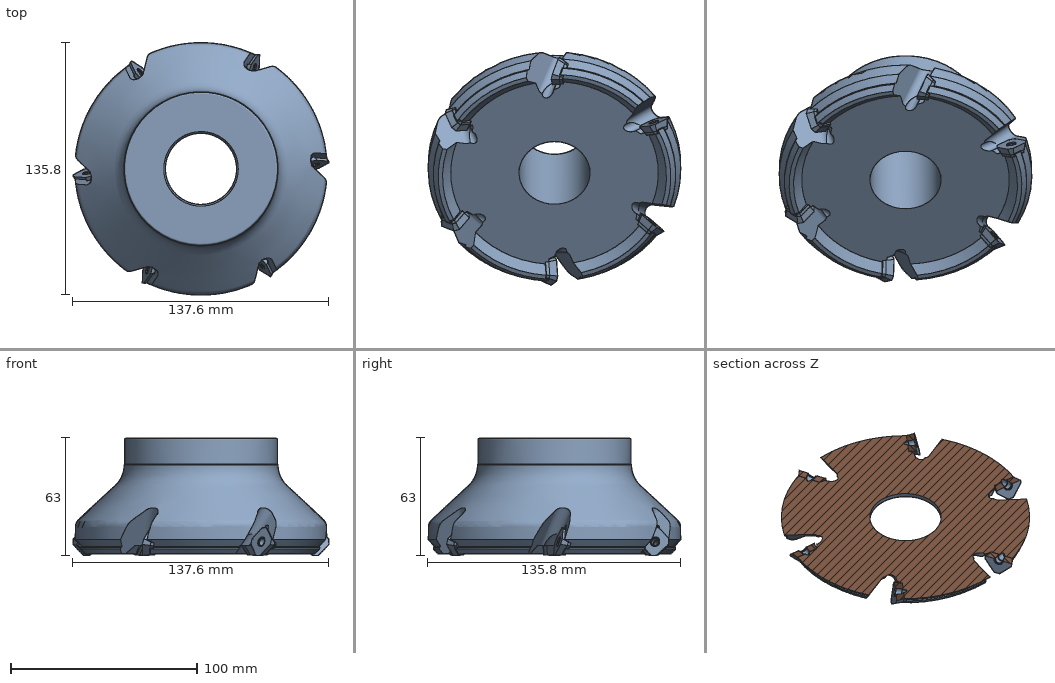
import cadquery as cq
import math


TOTAL_HEIGHT = 63.0
INSERT_COUNT = 6
FIRST_INSERT_ANGLE = 3.1
TIP_RADIUS = 68.8

HUB_RADIUS = 82.3 / 2
HUB_EDGE_ROUND = 1.0
BORE_RADIUS = 38.1 / 2
BORE_CHAMFER = 1.0
SHOULDER_TOP_Z = 49.3
SHOULDER_HEIGHT = 0.7

FLARE_START_RADIUS = 82.9 / 2
FLARE_ROUND = 15.0
FLARE_ANGLE = 47.0
RIM_RADIUS = 67.9
RIM_TOP_Z = 15.1
RIM_BOTTOM_Z = 8.7
RIM_ROUND = 5.4

STEP_RADIUS = 65.1
STEP_LEDGE_Z = 5.0
STEP_LEDGE_DEPTH = 0.4
STEP_LEDGE_DROP = 0.5
STEP_BOTTOM_Z = 3.5
FOOT_RADIUS = 62.5
FOOT_Z = 0.8

RECESS_FOOT_RADIUS = 60.2
RECESS_ROOF_RADIUS = 55.8
RECESS_ROOF_Z = 5.4

INSERT_SIDE = 13.4
INSERT_CORNER_REACH = 7.8
INSERT_THICKNESS = 4.0
INSERT_CLEARANCE = 20.0
AXIAL_RAKE = 17.0
RADIAL_RAKE = 9.0
SCREW_HEAD_DIAMETER = 5.2
SCREW_HEAD_DEPTH = 0.7
SCREW_SHANK_DIAMETER = 4.1

SCREW_THREAD_DIAMETER = 3.5
SCREW_THREAD_DEPTH = 5.5
POCKET_RUN_ON = 6.9
POCKET_HEIGHT = 5.5
PAD_THICKNESS = 1.7
CORNER_RELIEF_DIAMETER = 2.5

GROOVE_RADIUS = 2.8
GROOVE_RISE = 1.4
GROOVE_START = 5.5
GROOVE_LENGTH = 19.3

SLOT_TILT = 30.0
SLOT_OPENING_ANGLE = 32.0
SLOT_ROOT_RADIUS = 4.1
SLOT_ROOT_INSET = 6.3
SLOT_SEAT_WALL_OFFSET = 1.5
SLOT_REACH = 41.3
SLOT_HALF_LENGTH = 41.3

radial_rake = math.radians(RADIAL_RAKE)
axial_rake = math.radians(AXIAL_RAKE)
slot_tilt = math.radians(SLOT_TILT)
outward = cq.Vector(math.cos(radial_rake), math.sin(radial_rake), 0)
across = cq.Vector(-math.sin(radial_rake), math.cos(radial_rake), 0)
upward = across * math.sin(axial_rake) + cq.Vector(0, 0, math.cos(axial_rake))
rake_normal = outward.cross(upward)
slot_axis = upward * math.cos(slot_tilt) + outward * math.sin(slot_tilt)
slot_outward = outward * math.cos(slot_tilt) - upward * math.sin(slot_tilt)

insert_center = cq.Vector(TIP_RADIUS, 0, INSERT_CORNER_REACH * math.cos(axial_rake))
insert_center = insert_center - outward * INSERT_CORNER_REACH

rake_plane = cq.Plane(insert_center, outward, rake_normal * -1)
slot_plane = cq.Plane(insert_center, slot_outward, slot_axis * -1)


def place_around(shape):
    """Copies of a shape, one at each insert position."""
    pitch = 360 / INSERT_COUNT
    return [
        shape.rotate((0, 0, 0), (0, 0, 1), FIRST_INSERT_ANGLE + i * pitch)
        for i in range(INSERT_COUNT)
    ]


def turned_blank():
    """Outside of the cutter body, turned about Z, with its bore and recess."""
    flare = math.radians(FLARE_ANGLE)
    flare_top_z = SHOULDER_TOP_Z - SHOULDER_HEIGHT
    flare_end_r = FLARE_START_RADIUS + FLARE_ROUND * (1 - math.cos(flare))
    flare_end_z = flare_top_z - FLARE_ROUND * math.sin(flare)
    flare_mid_r = FLARE_START_RADIUS + FLARE_ROUND * (1 - math.cos(flare / 2))
    flare_mid_z = flare_top_z - FLARE_ROUND * math.sin(flare / 2)
    rim_round_r = RIM_RADIUS - RIM_ROUND * (1 - math.cos(flare))
    rim_round_z = RIM_TOP_Z + RIM_ROUND * math.sin(flare)
    rim_mid_r = RIM_RADIUS - RIM_ROUND * (1 - math.cos(flare / 2))
    rim_mid_z = RIM_TOP_Z + RIM_ROUND * math.sin(flare / 2)
    edge_mid = HUB_EDGE_ROUND * (1 - math.cos(math.radians(45)))
    return (
        cq.Workplane("XZ")
        .moveTo(BORE_RADIUS, RECESS_ROOF_Z)
        .lineTo(BORE_RADIUS, TOTAL_HEIGHT - BORE_CHAMFER)
        .lineTo(BORE_RADIUS + BORE_CHAMFER, TOTAL_HEIGHT)
        .lineTo(HUB_RADIUS - HUB_EDGE_ROUND, TOTAL_HEIGHT)
        .threePointArc(
            (HUB_RADIUS - edge_mid, TOTAL_HEIGHT - edge_mid),
            (HUB_RADIUS, TOTAL_HEIGHT - HUB_EDGE_ROUND),
        )
        .lineTo(HUB_RADIUS, SHOULDER_TOP_Z)
        .lineTo(FLARE_START_RADIUS, flare_top_z)
        .threePointArc((flare_mid_r, flare_mid_z), (flare_end_r, flare_end_z))
        .lineTo(rim_round_r, rim_round_z)
        .threePointArc((rim_mid_r, rim_mid_z), (RIM_RADIUS, RIM_TOP_Z))
        .lineTo(RIM_RADIUS, RIM_BOTTOM_Z)
        .lineTo(STEP_RADIUS - STEP_LEDGE_DEPTH, STEP_LEDGE_Z)
        .lineTo(STEP_RADIUS, STEP_LEDGE_Z - STEP_LEDGE_DROP)
        .lineTo(STEP_RADIUS, STEP_BOTTOM_Z)
        .lineTo(FOOT_RADIUS, FOOT_Z)
        .lineTo(RECESS_FOOT_RADIUS, FOOT_Z)
        .lineTo(RECESS_ROOF_RADIUS, RECESS_ROOF_Z)
        .close()
        .revolve(360, (0, 0, 0), (0, 1, 0))
    )


def chip_slot():
    """Cutting volume of one slot: two flat walls tangent to a round root."""
    opening = math.radians(SLOT_OPENING_ANGLE)
    root_x = -SLOT_ROOT_INSET
    root_y = SLOT_ROOT_RADIUS - SLOT_SEAT_WALL_OFFSET
    far_wall_x = root_x - SLOT_ROOT_RADIUS * math.sin(opening)
    far_wall_y = root_y + SLOT_ROOT_RADIUS * math.cos(opening)
    root_mid = math.pi + opening / 2
    return (
        cq.Workplane(slot_plane)
        .moveTo(root_x + SLOT_REACH, -SLOT_SEAT_WALL_OFFSET)
        .lineTo(root_x, -SLOT_SEAT_WALL_OFFSET)
        .threePointArc(
            (
                root_x + SLOT_ROOT_RADIUS * math.cos(root_mid),
                root_y + SLOT_ROOT_RADIUS * math.sin(root_mid),
            ),
            (far_wall_x, far_wall_y),
        )
        .lineTo(
            far_wall_x + SLOT_REACH * math.cos(opening),
            far_wall_y + SLOT_REACH * math.sin(opening),
        )
        .close()
        .extrude(SLOT_HALF_LENGTH, both=True)
    )


def flank_shrink(depth):
    """How far the tapered flanks draw in at a depth below the rake face."""
    return depth * math.tan(math.radians(INSERT_CLEARANCE))


def insert_outline(depth):
    """Square with cut corners, at a depth below the rake face."""
    side = INSERT_SIDE - 2 * flank_shrink(depth)
    across_corners = 2 * (INSERT_CORNER_REACH - flank_shrink(depth))
    square = cq.Sketch().rect(side, side, angle=45)
    return square.rect(across_corners, across_corners, mode="i")


def backing_pad():
    """Support behind the seat that continues the insert's flanks."""
    return (
        cq.Workplane(rake_plane)
        .workplane(offset=INSERT_THICKNESS)
        .placeSketch(insert_outline(INSERT_THICKNESS))
        .extrude(PAD_THICKNESS, taper=INSERT_CLEARANCE)
    )


def insert_pocket():
    """Cutting volume of one pocket, with corner relief and threaded hole.

    Its walls lie on the insert's flanks, and it runs on past the inner corner.
    """
    seat_side = INSERT_SIDE - 2 * flank_shrink(INSERT_THICKNESS)
    relief_offset = (INSERT_SIDE + seat_side) / 4
    seat_plane = cq.Plane(insert_center, outward, rake_normal).rotated((0, 0, 45))
    seat = cq.Workplane(seat_plane).workplane(offset=-INSERT_THICKNESS)
    pocket = (
        seat.center(-POCKET_RUN_ON / 2, 0)
        .rect(seat_side + POCKET_RUN_ON, seat_side)
        .extrude(POCKET_HEIGHT, taper=-INSERT_CLEARANCE)
    )
    relief = (
        seat.center(relief_offset, relief_offset)
        .circle(CORNER_RELIEF_DIAMETER / 2)
        .extrude(POCKET_HEIGHT)
    )
    thread = seat.circle(SCREW_THREAD_DIAMETER / 2).extrude(-SCREW_THREAD_DEPTH)
    return pocket.union(relief).union(thread)


def pocket_groove():
    """Round groove along the inner upper edge of the insert, down to the recess."""
    along = (outward + upward) * (-math.sqrt(0.5))
    away = (upward - outward) * math.sqrt(0.5)
    start = (
        insert_center
        + away * (INSERT_SIDE / 2)
        - along * (INSERT_SIDE / 2 - GROOVE_START)
        + rake_normal * GROOVE_RISE
    )
    groove_plane = cq.Plane(start, rake_normal, along)
    return cq.Workplane(groove_plane).circle(GROOVE_RADIUS).extrude(GROOVE_LENGTH)


def make_insert():
    """Square insert with cut corners, tapered flanks and a stepped screw hole."""
    return (
        cq.Workplane(rake_plane)
        .placeSketch(insert_outline(0))
        .extrude(INSERT_THICKNESS, taper=INSERT_CLEARANCE)
        .faces(cq.selectors.DirectionMinMaxSelector(rake_normal, True))
        .workplane(origin=insert_center)
        .cboreHole(SCREW_SHANK_DIAMETER, SCREW_HEAD_DIAMETER, SCREW_HEAD_DEPTH)
    )


body = turned_blank()
for slot in place_around(chip_slot()):
    body = body.cut(slot)
for pad in place_around(backing_pad()):
    body = body.union(pad)
for groove in place_around(pocket_groove()):
    body = body.cut(groove)
for pocket in place_around(insert_pocket()):
    body = body.cut(pocket)

inserts = place_around(make_insert())
result = cq.Compound.makeCompound([body.val(), *[i.val() for i in inserts]])